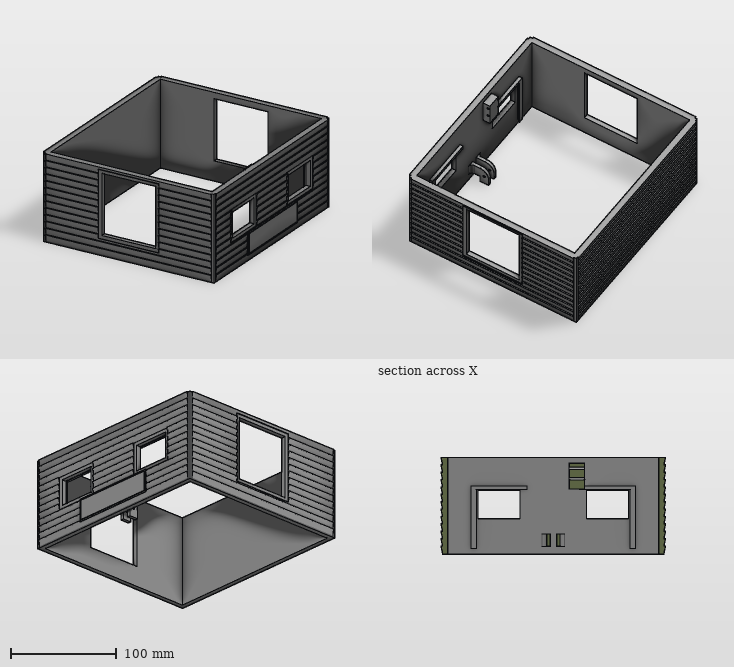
import cadquery as cq

HOUSE_X = 188.5
HOUSE_Y = 209.8
HEIGHT = 92.0
WALL = 5.0
HALF_X = HOUSE_X / 2
HALF_Y = HOUSE_Y / 2
INNER_X = HALF_X - WALL
INNER_Y = HALF_Y - WALL
ROOT_X = HALF_X - WALL / 2

BOARDS = 13
BASE_STRIP = 1.0
BOARD_PITCH = (HEIGHT - BASE_STRIP) / BOARDS
BOARD_LEAN = 1.5
CORNER_POST = 2.5

BIG_WIDTH = 59.5
BIG_SILL = 21.0
BIG_HEIGHT = 64.3
FRAME = 3.6

SMALL_WIDTH = 39.5
SMALL_SILL = 33.8
SMALL_HEIGHT = 26.8
SMALL_OFFSET = 51.3

GUIDE_LENGTH = 52.8
GUIDE_DEPTH = 3.6
GUIDE_TOP = 64.7
GUIDE_BAR = 3.2
GUIDE_LEG = 4.9
GUIDE_LIP = 1.3
GUIDE_FOOT = 5.5

BLOCK_DEPTH = 7.9
BLOCK_WIDTH = 14.5
BLOCK_HEIGHT = 24.7
BLOCK_Y = -22.3
BLOCK_Z = 61.7
BLOCK_HOLE = 2.1
BLOCK_HOLE_INSET = 2.1
BLOCK_HOLES_Z = (71.5, 81.5)

LUG_THICK = 3.5
LUG_GAP = 6.0
LUG_Y = -0.2
LUG_REACH = 20.0
LUG_ROUND = 9.8
LUG_TOP = 19.4
LUG_ARM_BOTTOM = 7.7
LUG_TIP_BOTTOM = 0.6
LUG_FILLET = 4.3
LUG_HOLE = 2.3
LUG_HOLE_INSET = 4.9
LUG_HOLE_Z = 10.5

SIGN_LENGTH = 87.7
SIGN_HEIGHT = 20.9
SIGN_BOTTOM = 8.0
SIGN_PROUD = 0.9
SIGN_BACKING_MARGIN = 1.5


def box(x, y, z):
    """Box between two limits along each axis."""
    size = [abs(high - low) for low, high in (x, y, z)]
    corner = cq.Vector(min(x), min(y), min(z))
    return cq.Workplane("XY").box(*size, centered=False).translate(corner)


def centred_box(x, y_middle, width, z_low, height):
    """Box centred in Y, used for what is mounted on or cut through the +X wall."""
    return box(x, (y_middle - width / 2, y_middle + width / 2), (z_low, z_low + height))


def siding(length, face_distance, angle):
    """Clapboards on the wall whose outward direction is -Y turned by `angle` about Z."""
    profile = cq.Workplane("YZ").moveTo(0, BASE_STRIP)
    for board in range(1, BOARDS + 1):
        top = BASE_STRIP + board * BOARD_PITCH
        profile = profile.lineTo(-BOARD_LEAN, top)
        profile = profile.lineTo(0, top)
    profile = profile.lineTo(WALL / 2, HEIGHT).lineTo(WALL / 2, BASE_STRIP).close()
    boards = profile.extrude(length / 2, both=True)
    return boards.translate((0, -face_distance, 0)).rotate((0, 0, 0), (0, 0, 1), angle)


def lug(side):
    """Round-nosed lug, on the +Y side (side = 1) or the -Y side (side = -1) of the gap."""
    tip = INNER_X - LUG_REACH
    arc_x = tip + LUG_ROUND
    arc_z = LUG_TOP - LUG_ROUND
    inner = LUG_Y + side * LUG_GAP / 2
    outer = inner + side * LUG_THICK
    plate = (
        cq.Workplane("XZ", origin=(0, max(inner, outer), 0))
        .moveTo(ROOT_X, LUG_TOP)
        .lineTo(arc_x, LUG_TOP)
        .tangentArcPoint((tip, arc_z), relative=False)
        .lineTo(tip, LUG_TIP_BOTTOM)
        .lineTo(arc_x, LUG_TIP_BOTTOM)
        .lineTo(arc_x, LUG_ARM_BOTTOM)
        .lineTo(ROOT_X, LUG_ARM_BOTTOM)
        .close()
        .extrude(LUG_THICK)
    )
    hole = (
        cq.Workplane("XZ", origin=(tip + LUG_HOLE_INSET, max(inner, outer), LUG_HOLE_Z))
        .circle(LUG_HOLE / 2)
        .extrude(LUG_THICK)
    )
    arm_height = LUG_TOP - LUG_ARM_BOTTOM
    fillet = box(
        (INNER_X - LUG_FILLET, ROOT_X), (outer - side * LUG_THICK / 2, outer + side * LUG_FILLET),
        (LUG_ARM_BOTTOM, LUG_TOP),
    )
    hollow = (
        cq.Workplane("XY", origin=(INNER_X - LUG_FILLET, outer + side * LUG_FILLET, LUG_ARM_BOTTOM))
        .circle(LUG_FILLET)
        .extrude(arm_height)
    )
    return plate.union(fillet.cut(hollow)).cut(hole)


def pane_guide(side):
    """Bar over a small window, with a lipped leg down the end nearer the house corner."""
    front = INNER_X - GUIDE_DEPTH
    end = side * (SMALL_OFFSET + GUIDE_LENGTH / 2)
    bar = centred_box((front, ROOT_X), side * SMALL_OFFSET, GUIDE_LENGTH, GUIDE_TOP - GUIDE_BAR, GUIDE_BAR)
    leg = box((front, ROOT_X), (end, end - side * GUIDE_LEG / 2), (GUIDE_FOOT, GUIDE_TOP))
    lip = box((front, front + GUIDE_LIP), (end, end - side * GUIDE_LEG), (GUIDE_FOOT, GUIDE_TOP))
    return bar.union(leg).union(lip)


result = box((-HALF_X, HALF_X), (-HALF_Y, HALF_Y), (0, HEIGHT))
for wall_length, distance, angles in ((HOUSE_X, HALF_Y, (0, 180)), (HOUSE_Y, HALF_X, (90, 270))):
    for angle in angles:
        result = result.union(siding(wall_length - 2 * CORNER_POST, distance, angle))
result = result.cut(
    box((-INNER_X, INNER_X), (-INNER_Y, INNER_Y), (0, HEIGHT))
)

frame_width = BIG_WIDTH + 2 * FRAME
for side in (-1, 1):
    result = result.cut(
        box(
            (-frame_width / 2, frame_width / 2),
            (side * HALF_Y, side * (HALF_Y + BOARD_LEAN)),
            (BIG_SILL - FRAME, BIG_SILL + BIG_HEIGHT + FRAME),
        )
    )
result = result.cut(
    box(
        (-BIG_WIDTH / 2, BIG_WIDTH / 2),
        (-HALF_Y, HALF_Y),
        (BIG_SILL, BIG_SILL + BIG_HEIGHT),
    )
)

for side in (-1, 1):
    middle = side * SMALL_OFFSET
    result = result.cut(
        centred_box(
            (HALF_X, HALF_X + BOARD_LEAN), middle, SMALL_WIDTH + 2 * FRAME,
            SMALL_SILL - FRAME, SMALL_HEIGHT + 2 * FRAME,
        )
    )
    result = result.cut(
        centred_box((INNER_X, HALF_X), middle, SMALL_WIDTH, SMALL_SILL, SMALL_HEIGHT)
    )
    result = result.union(pane_guide(side))

block = centred_box((INNER_X - BLOCK_DEPTH, ROOT_X), BLOCK_Y, BLOCK_WIDTH, BLOCK_Z, BLOCK_HEIGHT)
result = result.union(block)
for hole_z in BLOCK_HOLES_Z:
    hole = cq.Workplane(
        "XZ", origin=(INNER_X - BLOCK_DEPTH + BLOCK_HOLE_INSET, BLOCK_Y, hole_z)
    )
    result = result.cut(hole.circle(BLOCK_HOLE / 2).extrude(BLOCK_WIDTH / 2, both=True))

for side in (-1, 1):
    result = result.union(lug(side))

board_tips = HALF_X + BOARD_LEAN
backing = centred_box(
    (ROOT_X, board_tips), 0, SIGN_LENGTH + 2 * SIGN_BACKING_MARGIN,
    SIGN_BOTTOM - SIGN_BACKING_MARGIN, SIGN_HEIGHT + 2 * SIGN_BACKING_MARGIN,
)
sign = centred_box((ROOT_X, board_tips + SIGN_PROUD), 0, SIGN_LENGTH, SIGN_BOTTOM, SIGN_HEIGHT)
result = result.union(backing).union(sign)